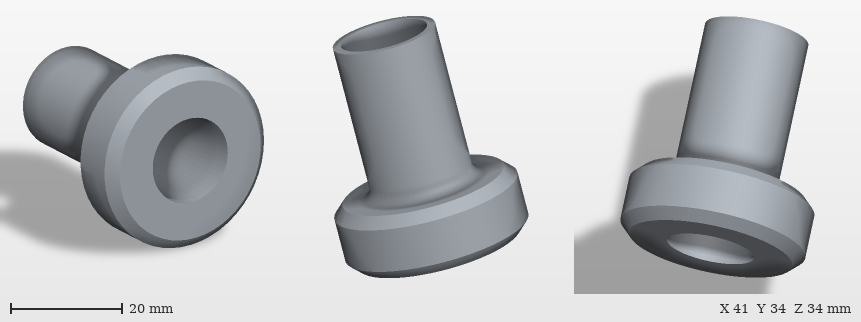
import cadquery as cq

total_length = 41
tube_diameter = 19.0
bore_diameter = 16
flange_diameter = 34.0
flange_thickness = 12.0
flange_chamfer = 2.0
neck_fillet = 2.0

flange_start = total_length - flange_thickness


def cylinder_along_x(start, length, diameter):
    return cq.Workplane("YZ", origin=(start, 0, 0)).circle(diameter / 2).extrude(length)


flange = cylinder_along_x(flange_start, flange_thickness, flange_diameter)
flange = flange.faces("<X or >X").edges().chamfer(flange_chamfer)

tube = cylinder_along_x(0, total_length, tube_diameter)
body = tube.union(flange)
neck_corner = cq.selectors.BoxSelector(
    (flange_start - neck_fillet, -tube_diameter, -tube_diameter),
    (flange_start + neck_fillet, tube_diameter, tube_diameter),
)
neck_edge = body.edges("%CIRCLE").edges(neck_corner).edges(cq.selectors.RadiusNthSelector(0))
body = neck_edge.fillet(neck_fillet)

bore = cylinder_along_x(0, total_length, bore_diameter)
result = body.cut(bore)